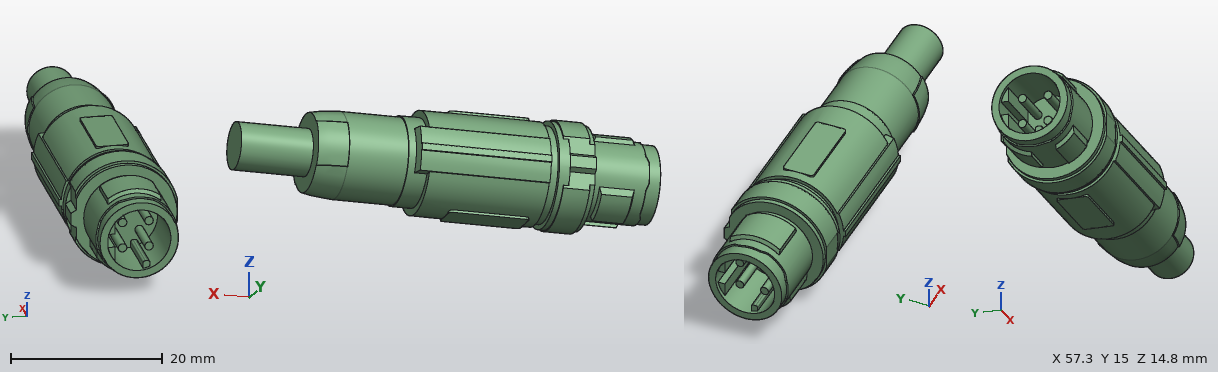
import cadquery as cq

length = 57.3

collar_start = 1.6
body_start = 1.95
nut_start = 9.5
band_start = 10.2
flange_start = 13.1
band_end = 13.85
nut_end = 14.6
sleeve_start = 15.75
sleeve_end = 32.3
shoulder_end = 35.05
taper_start = 43.25
taper_end = 47.4

tip_radius = 5.3
body_radius = 5.5
nut_radius = 7.05
band_radius = 7.4
flange_radius = 7.2
neck_radius = 6.55
sleeve_radius = 7.0
shoulder_radius = 6.0
tail_radius = 5.85
taper_end_radius = 5.35
taper_bulge = 0.1
cable_radius = 3.2

collar_front_half_width = 1.5
collar_back_half_width = 2.4

tab_radius = 6.0
tab_end_slope = 0.3
tab_root = 5.15
tabs = [
    (3.05, 8.7, -3.55, 3.55, 1),
    (3.4, 9.1, -4.9, -2.45, -1),
    (3.55, 8.35, 1.0, 4.9, -1),
]

bore_radius = 4.25
bore_depth = 8.6
pin_radius = 0.6
pin_offset = 1.8
pin_start = 2.3
key_start = 0.6
side_key_face = 3.15
side_key_gap = 0.9
side_key_height = 2.3
small_key_corner = 0.3
small_key_low_y = -1.55
small_key_high_y = -0.65
small_key_top = -3.15

marker_flat = 6.5
front_flat = 7.2
marker_root_half = 1.25
marker_crest_half = 0.8

grip_half_height = 3.05
grip_radius = 7.2
grip_end = 34.05
grip_end_slope = 0.35
rib_reach = 7.5
rib_half_height = 0.45
taper_grip_rise = 0.2

label_start = 17.15
label_length = 11.05
label_width = 4.35
label_corner = 0.45


def cylinder(start, end, radius, y=0.0, z=0.0):
    """Cylinder along X between two stations."""
    return cq.Workplane("YZ", origin=(start, y, z)).circle(radius).extrude(end - start)


def block(x, y, z):
    """Box given by its (low, high) limits along each axis."""
    size = [high - low for low, high in (x, y, z)]
    return cq.Workplane("XY", origin=(x[0], y[0], z[0])).box(*size, centered=False)


def revolve_about_axis(profile):
    """Turn a closed (X, radius) profile around the X axis."""
    return profile.close().revolve(360, (0, 0, 0), (1, 0, 0))


def make_taper(rise):
    """Rounded taper behind the tail, raised by a constant amount."""
    middle = (taper_start + taper_end) / 2
    middle_radius = (tail_radius + taper_end_radius) / 2 + taper_bulge
    profile = (
        cq.Workplane("XY")
        .moveTo(taper_start, 0)
        .lineTo(taper_start, tail_radius + rise)
        .threePointArc((middle, middle_radius + rise), (taper_end, taper_end_radius + rise))
        .lineTo(taper_end, 0)
    )
    return revolve_about_axis(profile)


def make_body():
    """Plug body whose front edge reaches further forward on the ±Y and ±Z sides."""
    reach = 2 * body_radius
    gaps = cylinder(collar_start, body_start, reach)
    sector = (
        cq.Workplane("XY")
        .polyline([
            (collar_start, -collar_front_half_width),
            (collar_start, collar_front_half_width),
            (body_start, collar_back_half_width),
            (body_start, -collar_back_half_width),
        ])
        .close()
        .extrude(reach)
    )
    for quarter in range(4):
        gaps = gaps.cut(sector.rotate((0, 0, 0), (1, 0, 0), 90 * quarter))
    return cylinder(collar_start, nut_start, body_radius).cut(gaps)


def make_tab(start, end, low_y, high_y, side):
    """Ring sector with sloping ends, cut off by planes of constant Y."""
    profile = cq.Workplane("XY").polyline([
        (start, tab_root),
        (start, body_radius),
        (start + tab_end_slope, tab_radius),
        (end - tab_end_slope, tab_radius),
        (end, body_radius),
        (end, tab_root),
    ])
    z_limits = sorted((0, side * 2 * tab_radius))
    return revolve_about_axis(profile).intersect(block((start, end), (low_y, high_y), z_limits))


def make_plug():
    """Tubular plug with tabs outside and pins and keys inside."""
    plug = cylinder(0, nut_start, tip_radius).union(make_body())
    for tab in tabs:
        plug = plug.union(make_tab(*tab))
    plug = plug.cut(cylinder(0, bore_depth, bore_radius))

    for y in (-pin_offset, pin_offset):
        for z in (-pin_offset, pin_offset):
            plug = plug.union(cylinder(pin_start, nut_start, pin_radius, y, z))

    wall_radius = (bore_radius + tip_radius) / 2
    small_key = block(
        (key_start, nut_start), (small_key_low_y, small_key_high_y), (-wall_radius, small_key_top)
    )
    keys = small_key.faces(">Z").edges("|X").fillet(small_key_corner)
    side_key_top = side_key_gap + side_key_height
    for z_limits in ((side_key_gap, side_key_top), (-side_key_top, -side_key_gap)):
        keys = keys.union(block((key_start, nut_start), (side_key_face, wall_radius), z_limits))
    return plug.union(keys.intersect(cylinder(0, nut_start, wall_radius)))


def make_nut():
    """Coupling nut: flats on both sides, with an alignment marker on the +Y flat."""
    reach = 2 * band_radius
    nut = cylinder(nut_start, flange_start, nut_radius).union(cylinder(band_start, band_end, band_radius))
    nut = nut.cut(block((nut_start, band_end), (marker_flat, reach), (-reach, reach)))
    nut = nut.cut(block((nut_start, band_end), (-reach, -front_flat), (-reach, reach)))
    marker = (
        cq.Workplane("YZ", origin=(nut_start, 0, 0))
        .polyline([
            (0, -marker_root_half),
            (marker_flat, -marker_root_half),
            (flange_radius, -marker_crest_half),
            (flange_radius, marker_crest_half),
            (marker_flat, marker_root_half),
            (0, marker_root_half),
        ])
        .close()
        .extrude(flange_start - nut_start)
    )
    return nut.union(marker).union(cylinder(flange_start, nut_end, flange_radius))


def make_sleeve():
    """Round sleeve with side grips, side ribs and label pads."""
    grip_profile = cq.Workplane("XY").polyline([
        (sleeve_start, 0),
        (sleeve_start, grip_radius),
        (grip_end - grip_end_slope, grip_radius),
        (grip_end, shoulder_radius),
        (grip_end, 0),
    ])
    reach = 2 * grip_radius
    grip_slab = block((sleeve_start, grip_end), (-reach, reach), (-grip_half_height, grip_half_height))
    ribs = block(
        (sleeve_start, grip_end - grip_end_slope),
        (-rib_reach, rib_reach),
        (-rib_half_height, rib_half_height),
    )
    labels = (
        cq.Workplane("XY", origin=(label_start + label_length / 2, 0, 0))
        .box(label_length, label_width, 2 * sleeve_radius)
        .edges("|Z")
        .fillet(label_corner)
    )
    sleeve = cylinder(sleeve_start, sleeve_end, sleeve_radius)
    return sleeve.union(revolve_about_axis(grip_profile).intersect(grip_slab)).union(ribs).union(labels)


def make_tail():
    """Shoulder, tail, gripped taper and cable."""
    reach = 2 * tail_radius
    grip_slab = block((taper_start, taper_end), (-reach, reach), (-grip_half_height, grip_half_height))
    tail = cylinder(sleeve_end, shoulder_end, shoulder_radius)
    tail = tail.union(cylinder(shoulder_end, taper_start, tail_radius))
    tail = tail.union(make_taper(0))
    tail = tail.union(make_taper(taper_grip_rise).intersect(grip_slab))
    return tail.union(cylinder(taper_end, length, cable_radius))


result = (
    make_plug()
    .union(make_nut())
    .union(cylinder(nut_end, sleeve_start, neck_radius))
    .union(make_sleeve())
    .union(make_tail())
)